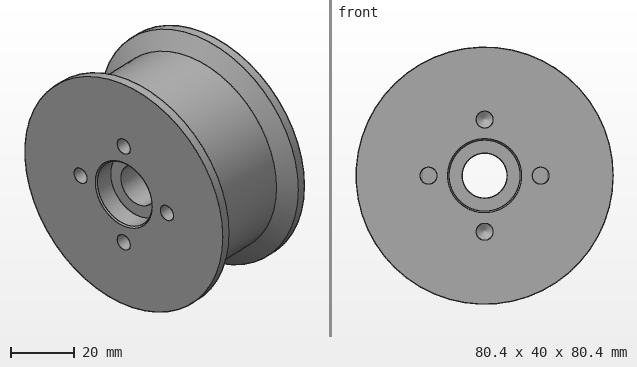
import cadquery as cq
import math

rim_diameter = 80.4
width = 40.0
drum_diameter = 68.4
rim_land = 3.05
flange_slope_angle = 30.0

bore_diameter = 14.0
seat_diameter = 22.2
seat_depth = 7.0
seat_chamfer = 0.5

hole_diameter = 5.3
hole_depth = 10.0
hole_circle_radius = 17.5
drill_tip_angle = 118.0

floor_flat_radius = 19.6
floor_slope_angle = 5.0

rim_radius = rim_diameter / 2
drum_radius = drum_diameter / 2
bore_radius = bore_diameter / 2
seat_radius = seat_diameter / 2
hole_radius = hole_diameter / 2
back_y = width / 2
front_y = -back_y
hole_floor_y = front_y + hole_depth


def revolve_about_y(points):
    """Solid of revolution about the Y axis from (radius, y) points."""
    return cq.Workplane("XY").polyline(points).close().revolve(360, (0, 0, 0), (0, 1, 0))


def make_wheel():
    """Wheel blank, symmetric about the XZ plane."""
    land_y = back_y - rim_land
    slope_width = (rim_radius - drum_radius) * math.tan(math.radians(flange_slope_angle))
    drum_y = land_y - slope_width
    return revolve_about_y([
        (0, front_y),
        (rim_radius, front_y),
        (rim_radius, -land_y),
        (drum_radius, -drum_y),
        (drum_radius, drum_y),
        (rim_radius, land_y),
        (rim_radius, back_y),
        (0, back_y),
    ])


def make_bore_cutter():
    """Through bore with its chamfered seat."""
    seat_floor_y = front_y + seat_depth
    return revolve_about_y([
        (0, front_y),
        (seat_radius + seat_chamfer, front_y),
        (seat_radius, front_y + seat_chamfer),
        (seat_radius, seat_floor_y),
        (bore_radius, seat_floor_y),
        (bore_radius, back_y),
        (0, back_y),
    ])


def make_drilled_cutter():
    """Blind hole with a conical drill tip, on the wheel axis."""
    tip_length = hole_radius / math.tan(math.radians(drill_tip_angle / 2))
    return revolve_about_y([
        (0, front_y),
        (hole_radius, front_y),
        (hole_radius, hole_floor_y),
        (0, hole_floor_y + tip_length),
    ])


def make_floored_cutter(x):
    """Hole at (x, 0) whose floor follows a crowned surface centred on the wheel axis."""
    floor_fall = (rim_radius - floor_flat_radius) * math.tan(math.radians(floor_slope_angle))
    space_above_floor = revolve_about_y([
        (0, front_y),
        (rim_radius, front_y),
        (rim_radius, hole_floor_y + floor_fall),
        (floor_flat_radius, hole_floor_y),
        (0, hole_floor_y),
    ])
    front_plane = cq.Workplane("XZ", origin=(0, front_y, 0))
    cylinder = front_plane.center(x, 0).circle(hole_radius).extrude(-width)
    return cylinder.intersect(space_above_floor)


result = make_wheel().cut(make_bore_cutter())
for side in (-1, 1):
    offset = side * hole_circle_radius
    result = result.cut(make_drilled_cutter().translate((0, 0, offset)))
    result = result.cut(make_floored_cutter(offset))